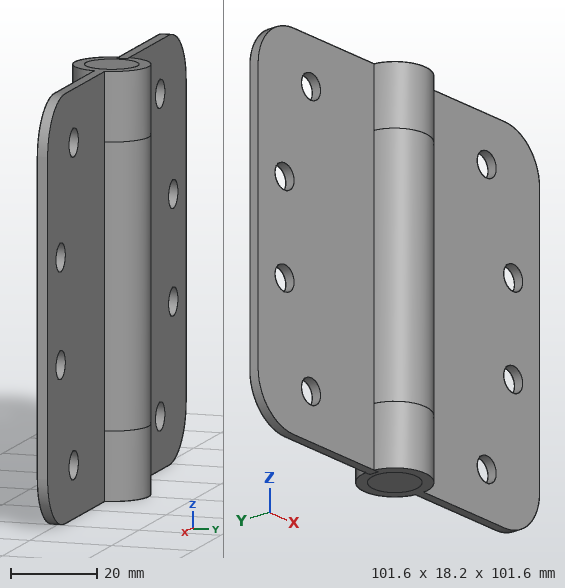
import cadquery as cq

SIDE = 101.6
LEAF_THICKNESS = 2.5
CORNER_RADIUS = 12.7

KNUCKLE_DIAMETER = 18.2
PIN_DIAMETER = 12.7
END_KNUCKLE_LENGTH = 16.7
MIDDLE_KNUCKLE_LENGTH = SIDE - 2 * END_KNUCKLE_LENGTH
LEAF_INNER_EDGE = 7.5

HOLE_DIAMETER = 6.8
HOLE_PITCH = 25.4
INNER_HOLE_X = 31.7
OUTER_HOLE_X = 41.2
HOLE_POSITIONS = [
    (INNER_HOLE_X, 1.5 * HOLE_PITCH),
    (OUTER_HOLE_X, 0.5 * HOLE_PITCH),
    (OUTER_HOLE_X, -0.5 * HOLE_PITCH),
    (INNER_HOLE_X, -1.5 * HOLE_PITCH),
]

LEFT = -1
RIGHT = 1


def cylinder(diameter, bottom, length):
    """Upright cylinder on the pin axis."""
    return cq.Workplane("XY").workplane(offset=bottom).circle(diameter / 2).extrude(length)


def make_plate(side):
    """Flat leaf plate with rounded outer corners and four screw holes."""
    width = SIDE / 2 - LEAF_INNER_EDGE
    center_x = side * (LEAF_INNER_EDGE + width / 2)
    outer_corners = "|Y and >X" if side == RIGHT else "|Y and <X"
    plate = (
        cq.Workplane("XY")
        .box(width, LEAF_THICKNESS, SIDE)
        .translate((center_x, 0, 0))
        .edges(outer_corners)
        .fillet(CORNER_RADIUS)
    )
    holes = (
        cq.Workplane("XZ")
        .pushPoints([(side * x, z) for x, z in HOLE_POSITIONS])
        .circle(HOLE_DIAMETER / 2)
        .extrude(LEAF_THICKNESS, both=True)
    )
    return plate.cut(holes)


def make_middle_knuckle():
    return cylinder(KNUCKLE_DIAMETER, -MIDDLE_KNUCKLE_LENGTH / 2, MIDDLE_KNUCKLE_LENGTH)


def make_end_knuckles():
    top = cylinder(KNUCKLE_DIAMETER, MIDDLE_KNUCKLE_LENGTH / 2, END_KNUCKLE_LENGTH)
    bottom = cylinder(KNUCKLE_DIAMETER, -SIDE / 2, END_KNUCKLE_LENGTH)
    return top.union(bottom)


def make_pin():
    return cylinder(PIN_DIAMETER, -SIDE / 2, SIDE)


def make_leaf(plate, knuckles, other_plate, pin):
    """Plate and its knuckles, bored for the pin and slotted for the edge of the other plate."""
    return knuckles.cut(other_plate).union(plate).cut(pin)


pin = make_pin()
left_plate = make_plate(LEFT)
right_plate = make_plate(RIGHT)
left_leaf = make_leaf(left_plate, make_middle_knuckle(), right_plate, pin)
right_leaf = make_leaf(right_plate, make_end_knuckles(), left_plate, pin)

result = cq.Compound.makeCompound([left_leaf.val(), right_leaf.val(), pin.val()])